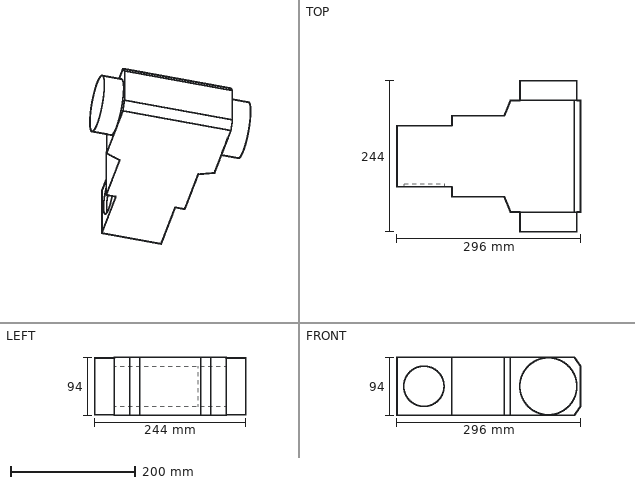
import cadquery as cq

LENGTH = 296.0
OVERALL_WIDTH = 244.0
HEIGHT = 94.0

NECK_WIDTH = 99.0
MIDDLE_WIDTH = 131.0
HEAD_WIDTH = 180.0
NECK_LENGTH = 88.5
MIDDLE_END = 173.0
HEAD_START = 183.0

BEVEL_LENGTH = 10.0
BEVEL_HEIGHT = 14.5

TRUNNION_DIAMETER = 92.0
TRUNNION_X = 244.0

RECESS_DIAMETER = 65.0
RECESS_X = 43.5
RECESS_DEPTH = 5.0


def make_body():
    """Stepped block, symmetric about the XZ plane."""
    half_outline = [
        (0, NECK_WIDTH / 2),
        (NECK_LENGTH, NECK_WIDTH / 2),
        (NECK_LENGTH, MIDDLE_WIDTH / 2),
        (MIDDLE_END, MIDDLE_WIDTH / 2),
        (HEAD_START, HEAD_WIDTH / 2),
        (LENGTH, HEAD_WIDTH / 2),
    ]
    mirrored_half = [(x, -y) for x, y in reversed(half_outline)]
    outline = half_outline + mirrored_half
    return cq.Workplane("XY").polyline(outline).close().extrude(HEIGHT / 2, both=True)


def make_bevel_cutter(side):
    """Triangular prism that bevels the top (side = 1) or bottom (side = -1) edge."""
    edge_z = side * HEIGHT / 2
    corners = [
        (LENGTH - BEVEL_LENGTH, edge_z),
        (LENGTH, edge_z),
        (LENGTH, edge_z - side * BEVEL_HEIGHT),
    ]
    return cq.Workplane("XZ").polyline(corners).close().extrude(HEAD_WIDTH / 2, both=True)


def make_trunnions():
    """One cylinder through the head, standing out equally on both sides."""
    profile = cq.Workplane("XZ").center(TRUNNION_X, 0).circle(TRUNNION_DIAMETER / 2)
    return profile.extrude(OVERALL_WIDTH / 2, both=True)


def make_recess_cutter():
    """Disc reaching from the neck's -Y face inward by the recess depth."""
    side_plane = cq.Workplane("XZ", origin=(RECESS_X, -NECK_WIDTH / 2, 0))
    return side_plane.circle(RECESS_DIAMETER / 2).extrude(-RECESS_DEPTH)


result = make_body()
for bevel_side in (1, -1):
    result = result.cut(make_bevel_cutter(bevel_side))
result = result.union(make_trunnions())
result = result.cut(make_recess_cutter())